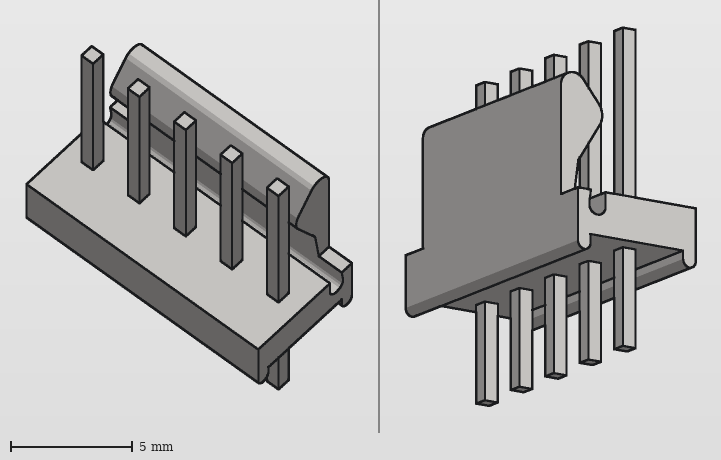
import cadquery as cq
import math


pin_count = 5
pin_pitch = 2.54
pin_size = 0.64
pin_length = 13.59
pin_bottom = -4.21
pin_y = -3.18

housing_width = pin_count * pin_pitch
housing_depth = 5.85
housing_height = 1.9
foot_width = 0.63
foot_radius = foot_width / 2
foot_drop = 0.68
foot_center_z = foot_radius - foot_drop

slot_radius = 0.41
slot_center = (-0.96, 1.29)
slot_front_y = slot_center[0] - slot_radius

latch_width = 10.19
latch_top = 7.2
tip_radius = 0.63
tip_center = (-tip_radius, latch_top - tip_radius)
nose_radius = 0.75
nose_center = (-1.3, 5.56)
neck = (-0.87, 3.49)


def on_circle(center, radius, angle):
    """Point of a circle in the YZ plane; angle in radians from +Y toward +Z."""
    return (center[0] + radius * math.cos(angle), center[1] + radius * math.sin(angle))


def direction(start, end):
    """Angle of the line from start to end."""
    return math.atan2(end[1] - start[1], end[0] - start[0])


def tangent_angle(point, center, radius, side):
    """Angle on a circle where a line from an outside point touches it; side is +1 or -1."""
    return direction(center, point) + side * math.acos(radius / math.dist(point, center))


def make_body():
    """Constant YZ section of housing and latch, extruded over the full housing width."""
    slot_angle = tangent_angle(neck, slot_center, slot_radius, -1)
    nose_low_angle = tangent_angle(neck, nose_center, nose_radius, -1)
    radius_change = (nose_radius - tip_radius) / math.dist(nose_center, tip_center)
    front_angle = direction(nose_center, tip_center) + math.acos(radius_change)

    section = (
        cq.Workplane("YZ")
        .moveTo(0, foot_center_z)
        .lineTo(0, tip_center[1])
        .threePointArc(
            on_circle(tip_center, tip_radius, front_angle / 2),
            on_circle(tip_center, tip_radius, front_angle),
        )
        .lineTo(*on_circle(nose_center, nose_radius, front_angle))
        .threePointArc(
            (nose_center[0] - nose_radius, nose_center[1]),
            on_circle(nose_center, nose_radius, nose_low_angle),
        )
        .lineTo(*neck)
        .lineTo(*on_circle(slot_center, slot_radius, slot_angle))
        .threePointArc(
            (slot_center[0], slot_center[1] - slot_radius),
            (slot_front_y, slot_center[1]),
        )
        .lineTo(slot_front_y, housing_height)
        .lineTo(-housing_depth, housing_height)
        .lineTo(-housing_depth, foot_center_z)
        .threePointArc(
            (-housing_depth + foot_radius, -foot_drop),
            (-housing_depth + foot_width, foot_center_z),
        )
        .lineTo(-housing_depth + foot_width, 0)
        .lineTo(-foot_width, 0)
        .lineTo(-foot_width, foot_center_z)
        .threePointArc((-foot_radius, -foot_drop), (0, foot_center_z))
        .close()
    )
    return section.extrude(housing_width / 2, both=True)


def make_end_cutter(side):
    """Block that trims the latch back from one end of the housing."""
    end_width = (housing_width - latch_width) / 2
    return cq.Workplane("XY").box(
        end_width, housing_depth, latch_top, centered=(True, False, False)
    ).translate((side * (latch_width + end_width) / 2, -housing_depth, housing_height))


def make_pin(index):
    """Square pin running straight through the housing."""
    pin_x = (index - (pin_count - 1) / 2) * pin_pitch
    return cq.Workplane("XY").box(
        pin_size, pin_size, pin_length, centered=(True, True, False)
    ).translate((pin_x, pin_y, pin_bottom))


result = make_body()
for end in (-1, 1):
    result = result.cut(make_end_cutter(end))
for pin in range(pin_count):
    result = result.union(make_pin(pin))